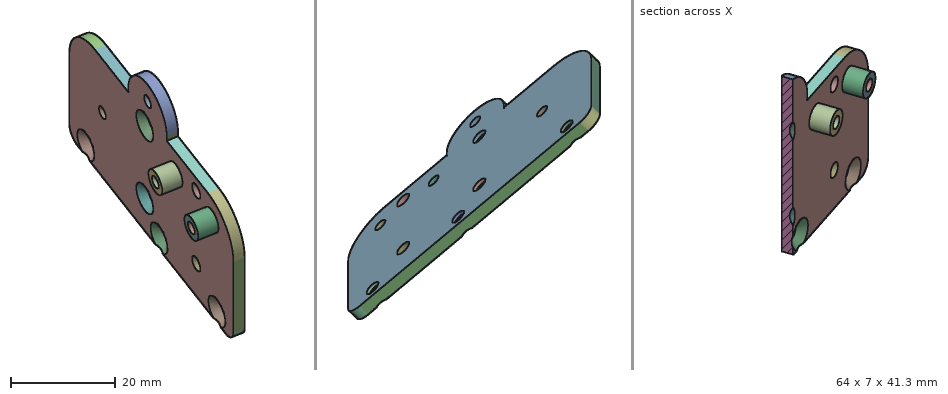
import cadquery as cq

plate_width = 64.0
plate_height = 32.5
plate_thickness = 2.5
upper_corner_radius = 10.0
lower_corner_radius = 3.0

tab_radius = 7.5
tab_x = -1.5
total_height = 41.3
tab_center_z = total_height - tab_radius

pattern_pitch = 20.0
pattern_left_x = -2.55
pattern_right_x = pattern_left_x + pattern_pitch
pattern_lower_z = 8.95
pattern_upper_z = pattern_lower_z + pattern_pitch
pattern_hole_diameter = 3.2

edge_hole_diameter = 3.1
edge_hole_z = 3.0
outer_edge_hole_x = 25.55
middle_edge_hole_x = 3.0

countersink_diameter = 6.6
countersink_angle = 90.0

small_hole_diameter = 2.7
tab_hole_z = 36.6
left_hole_x = -19.1
left_hole_z = 17.7

standoff_diameter = 5.4
standoff_bore_diameter = 2.6
standoff_length = 4.5
standoff_z = 26.5
standoff_xs = (9.5, 23.5)


def front_plane():
    """Workplane on the front face; local axes are X and Z, normal is -Y."""
    return cq.Workplane("XZ")


def make_plate():
    """Rounded plate occupying Y from 0 to the plate thickness."""
    body = (
        front_plane()
        .center(0, plate_height / 2)
        .rect(plate_width, plate_height)
        .extrude(-plate_thickness)
    )
    body = body.edges("|Y and >Z").fillet(upper_corner_radius)
    return body.edges("|Y and <Z").fillet(lower_corner_radius)


def make_tab():
    """Tab with straight sides rising from inside the plate to a half circle."""
    root_z = plate_height - tab_radius
    return (
        front_plane()
        .moveTo(tab_x - tab_radius, root_z)
        .lineTo(tab_x - tab_radius, tab_center_z)
        .threePointArc((tab_x, total_height), (tab_x + tab_radius, tab_center_z))
        .lineTo(tab_x + tab_radius, root_z)
        .close()
        .extrude(-plate_thickness)
    )


def drill(body, points, diameter):
    """Cut plain holes right through the part."""
    cutters = front_plane().pushPoints(points).circle(diameter / 2).extrude(standoff_length, both=True)
    return body.cut(cutters)


def drill_countersunk(body, points, diameter):
    """Cut through holes with a countersink in the front face."""
    return (
        body.copyWorkplane(front_plane())
        .pushPoints(points)
        .cskHole(diameter, countersink_diameter, countersink_angle, depth=plate_thickness)
    )


plate = make_plate().union(make_tab())

pattern_countersunk = [(pattern_left_x, z) for z in (pattern_lower_z, pattern_upper_z)]
pattern_plain = [(pattern_right_x, z) for z in (pattern_lower_z, pattern_upper_z)]
edge_points = [(x, edge_hole_z) for x in (-outer_edge_hole_x, middle_edge_hole_x, outer_edge_hole_x)]
small_points = [(tab_x, tab_hole_z), (left_hole_x, left_hole_z)]
standoff_points = [(x, standoff_z) for x in standoff_xs]

plate = drill_countersunk(plate, pattern_countersunk, pattern_hole_diameter)
plate = drill_countersunk(plate, edge_points, edge_hole_diameter)
plate = drill(plate, pattern_plain, pattern_hole_diameter)
plate = drill(plate, small_points, small_hole_diameter)

standoffs = front_plane().pushPoints(standoff_points).circle(standoff_diameter / 2).extrude(standoff_length)
result = drill(plate.union(standoffs), standoff_points, standoff_bore_diameter)